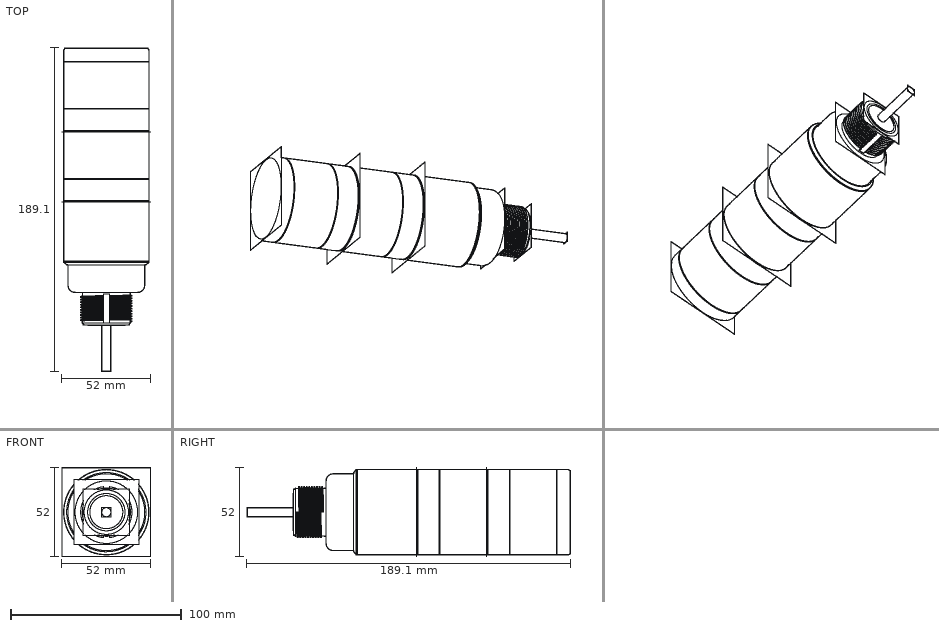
import cadquery as cq


body_radius = 25.0
module_pitch = 41.0
band_height = 13.5
lower_height = 53.0
cap_height = 8.0
cap_round = 1.6
module_bases = [lower_height, lower_height + module_pitch]
body_top = lower_height + len(module_bases) * module_pitch + cap_height

base_radius = 22.5
base_top = 16.2
base_round = 4.2
shoulder_height = 1.4
shoulder_inset = 1.8
shoulder_top = base_top + shoulder_height

joint_width = 0.5
joint_depth = 0.15

thread_radius = 15.0
core_radius = 14.1
thread_pitch = 1.5
thread_root_width = 1.2
thread_crest_width = 0.3
thread_overlap = 0.3
thread_start = 1.9
keyway_start = 0.95
thread_turns = 10
stem_length = 19.0
stem_chamfer = 1.1
stem_end_radius = core_radius - stem_chamfer
keyway_width = 3.5
keyway_floor = 13.85

lip_radius = 10.3
lip_section_radius = 0.8

cable_radius = 2.7
cable_length = 27.0
cable_end = stem_length + cable_length

sheet_thickness = 0.08
sheet_ratio = 1.04


def housing():
    """Turned housing and base with a rounded cap and a bevelled shoulder."""
    outline = (
        cq.Workplane("XY")
        .lineTo(base_radius - base_round, 0)
        .radiusArc((base_radius, base_round), -base_round)
        .lineTo(base_radius, base_top)
        .lineTo(body_radius - shoulder_inset, base_top)
        .lineTo(body_radius, shoulder_top)
        .lineTo(body_radius, body_top - cap_round)
        .radiusArc((body_radius - cap_round, body_top), -cap_round)
        .lineTo(0, body_top)
        .close()
    )
    return outline.revolve(360, (0, 0, 0), (0, 1, 0))


def disc(radius, y_start, y_end):
    """Round bar on the Y axis between two heights."""
    height = y_end - y_start
    base_point = cq.Vector(0, y_start, 0)
    return cq.Workplane(cq.Solid.makeCylinder(radius, height, base_point, cq.Vector(0, 1, 0)))


def joint_groove(y):
    """Ring that cuts a shallow joint line around the housing, centred on y."""
    y_start = y - joint_width / 2
    y_end = y + joint_width / 2
    outer = disc(body_radius + joint_depth, y_start, y_end)
    return outer.cut(disc(body_radius - joint_depth, y_start, y_end))


def joint_heights():
    """Centres of all joint lines on the housing."""
    heights = [shoulder_top + joint_width, body_top - cap_height]
    for module_base in module_bases:
        heights += [module_base + joint_width, module_base + band_height]
    return heights


def stem():
    """Plain stem core, bevelled at its free end."""
    outline = (
        cq.Workplane("XY")
        .lineTo(core_radius, 0)
        .lineTo(core_radius, stem_chamfer - stem_length)
        .lineTo(stem_end_radius, -stem_length)
        .lineTo(0, -stem_length)
        .close()
    )
    return outline.revolve(360, (0, 0, 0), (0, 1, 0))


def thread():
    """Helical ridge wound around the stem core."""
    start_radius = core_radius - thread_overlap
    helix = cq.Wire.makeHelix(thread_pitch, thread_pitch * thread_turns, start_radius)
    ridge = (
        cq.Workplane("XZ")
        .moveTo(start_radius, -thread_root_width / 2)
        .lineTo(thread_radius, -thread_crest_width / 2)
        .lineTo(thread_radius, thread_crest_width / 2)
        .lineTo(start_radius, thread_root_width / 2)
        .close()
        .sweep(cq.Workplane(helix), isFrenet=True)
    )
    return ridge.rotate((0, 0, 0), (1, 0, 0), 90).translate((0, -thread_start, 0))


def keyway(side):
    """Flat-bottomed slot along the thread on the +Z (1) or -Z (-1) side."""
    depth = thread_radius
    center_z = side * (keyway_floor + depth / 2)
    length = stem_length - keyway_start - stem_chamfer
    center_y = -keyway_start - length / 2
    return cq.Workplane("XY").box(keyway_width, length, depth).translate((0, center_y, center_z))


def end_lip():
    """Ring sunk into the stem that rounds the rim on the end of the stem."""
    center = cq.Vector(0, lip_section_radius / 2 - stem_length, 0)
    return cq.Workplane(cq.Solid.makeTorus(lip_radius, lip_section_radius, center, cq.Vector(0, 1, 0)))


def sheet(face_radius, y):
    """Thin square sheet, slightly larger than the round face it lies on, with its +Y side at y."""
    side = 2 * face_radius * sheet_ratio
    return cq.Workplane("XY").box(side, sheet_thickness, side).translate((0, y - sheet_thickness / 2, 0))


result = housing()
for joint_height in joint_heights():
    result = result.cut(joint_groove(joint_height))

threaded_stem = stem().union(thread())
for side in (1, -1):
    threaded_stem = threaded_stem.cut(keyway(side))
threaded_stem = threaded_stem.union(end_lip())

result = result.union(threaded_stem)
result = result.union(disc(cable_radius, -cable_end, -stem_length))

sheet_places = [(body_radius, module_base) for module_base in module_bases]
sheet_places += [
    (body_radius - cap_round, body_top),
    (base_radius - base_round, 0),
    (stem_end_radius, -stem_length),
    (cable_radius, -cable_end),
]
for face_radius, y in sheet_places:
    result = result.union(sheet(face_radius, y))